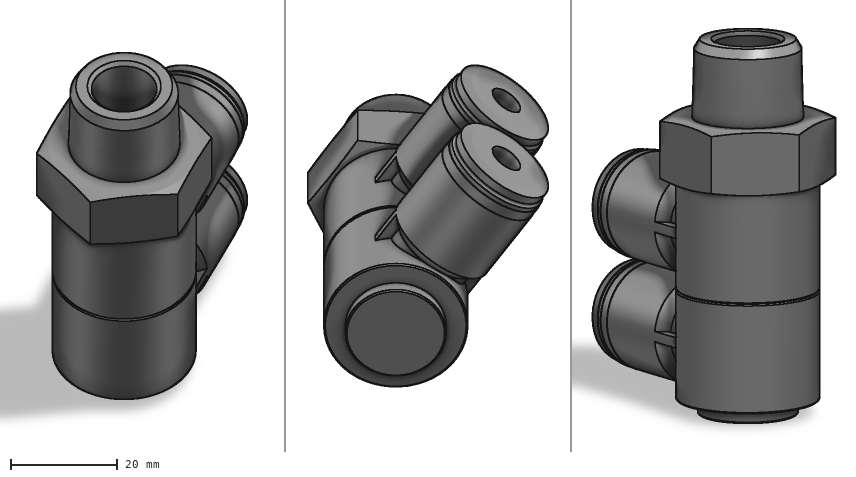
import cadquery as cq
import math

total_height = 71.8
hex_flats = 28.65
hex_bottom = 44.8
hex_top = 56.9
body_diameter = 27.0
body_bottom = 2.7
spigot_diameter = 18.9
edge_break = 0.3
hex_bevel_height = 0.6
hex_corner_radius = hex_flats / math.sqrt(3)
outlet_count = 2
module_height = (hex_bottom - body_bottom) / outlet_count

thread_root_diameter = 21.0
thread_end_diameter = 20.25
thread_tip_diameter = 18.1
thread_chamfer_height = 1.8

bore_mouth_diameter = 13.8
bore_diameter = 12.2
bore_mouth_depth = 0.7
bore_floor = hex_bottom
passage_diameter = 6.3
drill_point_angle = 118
funnel_height = (bore_diameter - passage_diameter) / 2 / math.tan(math.radians(drill_point_angle / 2))
passage_bottom = body_bottom + module_height / 2

outlet_diameter = 21.0
outlet_neck_diameter = 16.7
outlet_shoulder = 15.4
outlet_cap_line = 30.7
outlet_cap_diameter = 20.8
outlet_rim_diameter = 20.6
outlet_rim_start = 32.9
outlet_end = 33.8
ring_neck_diameter = 14.0
ring_flange_diameter = 19.8
ring_face_diameter = 15.8
ring_flange_start = 34.5
ring_flange_end = 36.2
ring_face = 36.75
rib_thickness = 2.0


def revolve_about_z(profile):
    return cq.Workplane("XZ").polyline(profile).close().revolve(360, (0, 0), (0, 1))


def cylinder_along_y(diameter, length):
    """Cylinder from the body axis towards +Y, centred on Z = 0."""
    return cq.Workplane("XZ").circle(diameter / 2).extrude(-length)


def make_body_module(bottom):
    """One cylindrical body section with a broken edge at each end that is not against the hexagon."""
    cylinder = cq.Workplane("XY").workplane(offset=bottom).circle(body_diameter / 2).extrude(module_height)
    cylinder = cylinder.faces("<Z").edges().chamfer(edge_break)
    if bottom + module_height < hex_bottom - edge_break:
        cylinder = cylinder.faces(">Z").edges().chamfer(edge_break)
    return cylinder


def make_spigot():
    spigot = cq.Workplane("XY").circle(spigot_diameter / 2).extrude(body_bottom)
    return spigot.faces("<Z").edges().chamfer(edge_break)


def make_hex():
    """Hexagon with corners on the Y axis, bevelled at both ends."""
    prism = (
        cq.Workplane("XY")
        .workplane(offset=hex_bottom)
        .transformed(rotate=(0, 0, 90))
        .polygon(6, 2 * hex_corner_radius)
        .extrude(hex_top - hex_bottom)
    )
    bevel_envelope = revolve_about_z([
        (0, hex_bottom),
        (hex_flats / 2, hex_bottom),
        (hex_corner_radius, hex_bottom + hex_bevel_height),
        (hex_corner_radius, hex_top - hex_bevel_height),
        (hex_flats / 2, hex_top),
        (0, hex_top),
    ])
    return prism.intersect(bevel_envelope)


def make_thread():
    return revolve_about_z([
        (0, hex_top),
        (thread_root_diameter / 2, hex_top),
        (thread_end_diameter / 2, total_height - thread_chamfer_height),
        (thread_tip_diameter / 2, total_height),
        (0, total_height),
    ])


def make_bore():
    """Bore with a chamfered mouth, a conical floor and a round-ended passage."""
    passage_radius = passage_diameter / 2
    stepped = revolve_about_z([
        (0, passage_bottom),
        (passage_radius, passage_bottom),
        (passage_radius, bore_floor - funnel_height),
        (bore_diameter / 2, bore_floor),
        (bore_diameter / 2, total_height - bore_mouth_depth),
        (bore_mouth_diameter / 2, total_height),
        (0, total_height),
    ])
    return stepped.union(cq.Workplane("XY").sphere(passage_radius).translate((0, 0, passage_bottom)))


def make_outlet(height):
    """Push-in outlet along +Y with its release ring and two side ribs."""
    neck_radius = outlet_neck_diameter / 2
    outlet_radius = outlet_diameter / 2
    cone_start = outlet_shoulder - (outlet_radius - neck_radius)
    profile = [
        (0, 0),
        (neck_radius, 0),
        (neck_radius, cone_start),
        (outlet_radius, outlet_shoulder),
        (outlet_radius, outlet_cap_line),
        (outlet_cap_diameter / 2, outlet_cap_line),
        (outlet_cap_diameter / 2, outlet_rim_start),
        (outlet_rim_diameter / 2, outlet_rim_start),
        (outlet_rim_diameter / 2, outlet_end),
        (ring_neck_diameter / 2, outlet_end),
        (ring_neck_diameter / 2, ring_flange_start),
        (ring_flange_diameter / 2, ring_flange_start),
        (ring_flange_diameter / 2, ring_flange_end),
        (ring_face_diameter / 2, ring_face),
        (0, ring_face),
    ]
    turned = cq.Workplane("XY").polyline(profile).close().revolve(360, (0, 0), (0, 1))
    rib = cq.Workplane("XY").box(outlet_diameter, outlet_shoulder, rib_thickness, centered=(True, False, True))
    rib_envelope = cylinder_along_y(outlet_diameter, outlet_shoulder)
    return turned.union(rib.intersect(rib_envelope)).translate((0, 0, height))


result = make_spigot().union(make_hex()).union(make_thread())
outlet_passages = []
for index in range(outlet_count):
    module_bottom = body_bottom + index * module_height
    outlet_height = module_bottom + module_height / 2
    result = result.union(make_body_module(module_bottom))
    result = result.union(make_outlet(outlet_height))
    outlet_passages.append(cylinder_along_y(passage_diameter, ring_face).translate((0, 0, outlet_height)))

result = result.cut(make_bore())
for passage in outlet_passages:
    result = result.cut(passage)